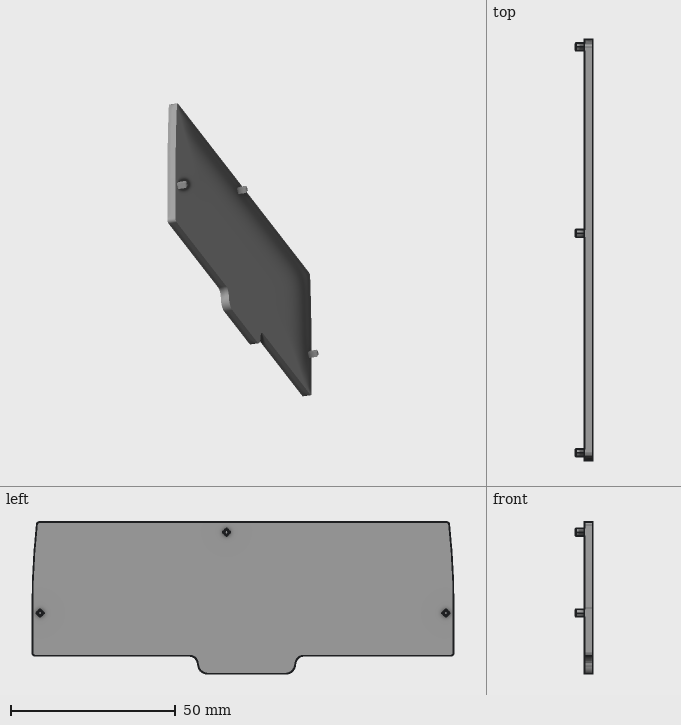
import cadquery as cq
import math

plate_width = 127.75
plate_thickness = 2.6
plate_height = 40.65
top_corner_radius = 1.0
bottom_corner_radius = 1.0

side_arc_height = 26.0
side_arc_radius = 235.0

total_height = 46.09
tab_middle_width = 29.5
tab_side_angle = 11.0
tab_center_y = -1.1
tab_root_radius = 2.4
tab_corner_radius = 3.0
tab_overlap = 1.0
root_tolerance = 0.1

total_depth = 5.4
peg_diagonal = 2.4
peg_tip_chamfer = 0.3
side_peg_y = 61.5
side_peg_z = -27.65
top_peg_y = 5.0
top_peg_z = -3.15

peg_length = total_depth - plate_thickness


def side_inset(drop):
    """Inward offset of the side arc at a given distance below the top edge."""
    rise = side_arc_height - drop
    return side_arc_radius - math.sqrt(side_arc_radius**2 - rise**2)


def make_plate():
    """Plate with curved upper sides and rounded corners."""
    half_width = plate_width / 2
    top_half_width = half_width - side_inset(0)
    middle_drop = side_arc_height / 2
    middle_half_width = half_width - side_inset(middle_drop)
    plate = (
        cq.Workplane("YZ")
        .moveTo(-top_half_width, 0)
        .lineTo(top_half_width, 0)
        .threePointArc((middle_half_width, -middle_drop), (half_width, -side_arc_height))
        .lineTo(half_width, -plate_height)
        .lineTo(-half_width, -plate_height)
        .lineTo(-half_width, -side_arc_height)
        .threePointArc((-middle_half_width, -middle_drop), (-top_half_width, 0))
        .close()
        .extrude(plate_thickness)
    )
    plate = plate.faces(">Z").edges("|X").fillet(top_corner_radius)
    return plate.faces("<Z").edges("|X").fillet(bottom_corner_radius)


def make_tab():
    """Tapered tab with rounded lower corners; it overlaps the plate above its root."""
    tab_height = total_height - plate_height
    taper = math.tan(math.radians(tab_side_angle))
    tip_half_width = tab_middle_width / 2 - taper * tab_height / 2
    root_half_width = tab_middle_width / 2 + taper * tab_height / 2
    tab = (
        cq.Workplane("YZ", origin=(0, tab_center_y, -plate_height))
        .moveTo(-root_half_width, 0)
        .lineTo(-tip_half_width, -tab_height)
        .lineTo(tip_half_width, -tab_height)
        .lineTo(root_half_width, 0)
        .lineTo(root_half_width, tab_overlap)
        .lineTo(-root_half_width, tab_overlap)
        .close()
        .extrude(plate_thickness)
    )
    return tab.faces("<Z").edges("|X").fillet(tab_corner_radius)


def round_tab_roots(body):
    """Round the two inner corners where the tab leaves the bottom edge."""
    root_zone = cq.selectors.BoxSelector(
        (0, tab_center_y - tab_middle_width, -plate_height - root_tolerance),
        (plate_thickness, tab_center_y + tab_middle_width, -plate_height + root_tolerance),
    )
    return body.edges("|X").edges(root_zone).fillet(tab_root_radius)


def make_peg(y, z):
    """Square peg pointing towards -X, chamfered around its tip."""
    return (
        cq.Workplane("YZ", origin=(0, y, z))
        .polygon(4, peg_diagonal)
        .extrude(-peg_length)
        .faces("<X")
        .chamfer(peg_tip_chamfer)
    )


peg_centers = [
    (side_peg_y, side_peg_z),
    (-side_peg_y, side_peg_z),
    (top_peg_y, top_peg_z),
]

result = round_tab_roots(make_plate().union(make_tab()))
for peg_y, peg_z in peg_centers:
    result = result.union(make_peg(peg_y, peg_z))